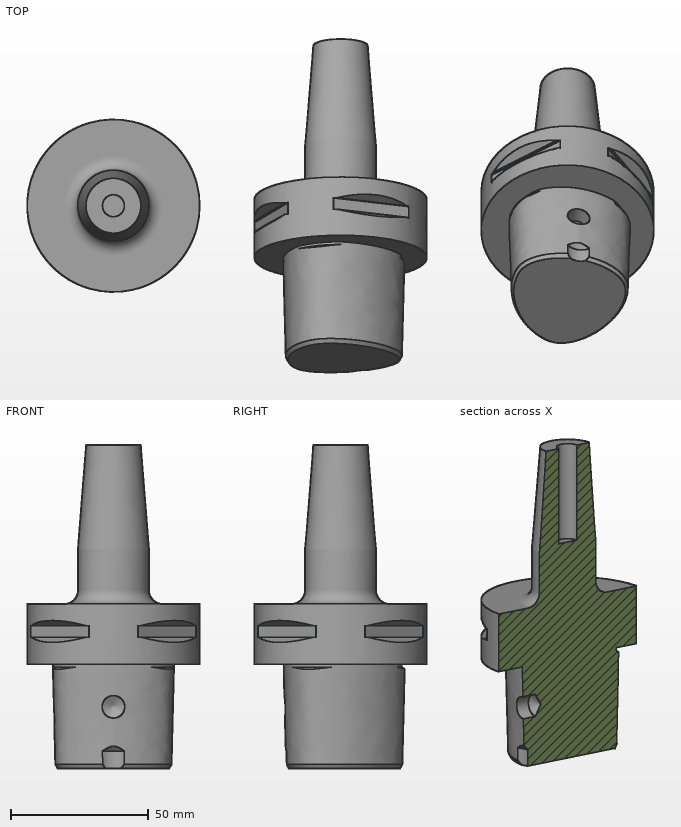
import cadquery as cq
import math

shank_height = 38.0
flange_height = 22.0
flange_top = shank_height + flange_height
nose_cone_base = 80.0
overall_height = 118.0

flange_radius = 63.0 / 2
nose_radius = 26.0 / 2
nose_fillet = 5.0
nose_tip_radius = 20.0 / 2
bore_radius = 8.0 / 2
bore_depth = 36.0

lobe_rise = 1.35
neck_mean_radius = 22.1
neck_height = 2.85
shank_slope = 1 / 40
end_chamfer_height = 1.6
end_chamfer_inset = 0.9
lobe_points = 72

relief_radius = 22.35
relief_wall_height = 1.0
relief_depth = 1.8

pocket_count = 4
pocket_start_angle = 45.0
pocket_floor_distance = 27.5
pocket_length = 30.0
pocket_height = 4.3
pocket_center_height = 50.0
pocket_bevel_distance = 28.3
pocket_bevel_angle = 30.0

drill_hole_radius = 8.2 / 2
drill_hole_height = 22.5
drill_hole_wall_depth = 6.0
drill_hole_point_depth = drill_hole_radius * math.tan(math.radians(30))

notch_radius = 6.1
notch_axis_distance = 24.35
notch_wall_height = 6.3

neck_base = shank_height - neck_height
chamfer_top_radius = neck_mean_radius - shank_slope * (neck_base - end_chamfer_height)
lobe_radius = neck_mean_radius + lobe_rise
flat_side_radius = neck_mean_radius - lobe_rise


def lobed_wire(mean_radius, height):
    """Closed constant-width outline with three lobes, at the given height."""

    def point(t):
        angle = 2 * math.pi * t
        support = mean_radius - lobe_rise * math.sin(3 * angle)
        slope = -3 * lobe_rise * math.cos(3 * angle)
        x = support * math.cos(angle) - slope * math.sin(angle)
        y = support * math.sin(angle) + slope * math.cos(angle)
        return cq.Vector(x, y, height)

    points = [point(i / lobe_points) for i in range(lobe_points)]
    return cq.Wire.assembleEdges([cq.Edge.makeSpline(points, periodic=True)])


def lobed_section(bottom_radius, bottom, top_radius, top):
    """Ruled solid between two lobed outlines."""
    wires = [lobed_wire(bottom_radius, bottom), lobed_wire(top_radius, top)]
    return cq.Workplane(cq.Solid.makeLoft(wires, True))


def make_shank():
    chamfer = lobed_section(
        chamfer_top_radius - end_chamfer_inset, 0, chamfer_top_radius, end_chamfer_height
    )
    taper = lobed_section(chamfer_top_radius, end_chamfer_height, neck_mean_radius, neck_base)
    neck = lobed_section(neck_mean_radius, neck_base, neck_mean_radius, shank_height)
    return chamfer.union(taper).union(neck)


def make_relief():
    """Ring that leaves a round neck with a conical lead under the flange."""
    return (
        cq.Workplane("XZ")
        .moveTo(relief_radius, shank_height)
        .lineTo(relief_radius, shank_height - relief_wall_height)
        .lineTo(lobe_radius, shank_height - relief_depth)
        .lineTo(flange_radius, shank_height - relief_depth)
        .lineTo(flange_radius, shank_height)
        .close()
        .revolve(360, (0, 0, 0), (0, 1, 0))
    )


def make_flange_and_nose():
    fillet_middle = nose_fillet * (1 - math.sqrt(0.5))
    return (
        cq.Workplane("XZ")
        .moveTo(0, shank_height)
        .lineTo(flange_radius, shank_height)
        .lineTo(flange_radius, flange_top)
        .lineTo(nose_radius + nose_fillet, flange_top)
        .threePointArc(
            (nose_radius + fillet_middle, flange_top + fillet_middle),
            (nose_radius, flange_top + nose_fillet),
        )
        .lineTo(nose_radius, nose_cone_base)
        .lineTo(nose_tip_radius, overall_height)
        .lineTo(0, overall_height)
        .close()
        .revolve(360, (0, 0, 0), (0, 1, 0))
    )


def make_bore():
    return (
        cq.Workplane("XY")
        .workplane(offset=overall_height - bore_depth)
        .circle(bore_radius)
        .extrude(bore_depth)
    )


def make_pocket():
    """Slot along Y with flared long edges, for the +X side of the flange."""
    half_floor = pocket_height / 2
    flare = (flange_radius - pocket_bevel_distance) * math.tan(math.radians(pocket_bevel_angle))
    half_mouth = half_floor + flare
    return (
        cq.Workplane("XZ")
        .polyline(
            [
                (pocket_floor_distance, -half_floor),
                (pocket_bevel_distance, -half_floor),
                (flange_radius, -half_mouth),
                (flange_radius, half_mouth),
                (pocket_bevel_distance, half_floor),
                (pocket_floor_distance, half_floor),
            ]
        )
        .close()
        .extrude(pocket_length / 2, both=True)
        .translate((0, 0, pocket_center_height))
    )


def make_drill_hole():
    """Drill shape along Y: a wall from outside the flat side, then a conical point."""
    wall_end = -flat_side_radius + drill_hole_wall_depth
    return (
        cq.Workplane("XY")
        .moveTo(0, -flange_radius)
        .lineTo(drill_hole_radius, -flange_radius)
        .lineTo(drill_hole_radius, wall_end)
        .lineTo(0, wall_end + drill_hole_point_depth)
        .close()
        .revolve(360, (0, 0, 0), (0, 1, 0))
        .translate((0, 0, drill_hole_height))
    )


def make_notch():
    return (
        cq.Workplane("XZ")
        .lineTo(notch_radius, 0)
        .lineTo(notch_radius, notch_wall_height)
        .lineTo(0, notch_wall_height + notch_radius)
        .close()
        .revolve(360, (0, 0, 0), (0, 1, 0))
        .translate((0, -notch_axis_distance, 0))
    )


shank = make_shank().cut(make_relief()).cut(make_drill_hole()).cut(make_notch())
result = make_flange_and_nose().union(shank).cut(make_bore())

for i in range(pocket_count):
    pocket_angle = pocket_start_angle + i * 360 / pocket_count
    result = result.cut(make_pocket().rotate((0, 0, 0), (0, 0, 1), pocket_angle))